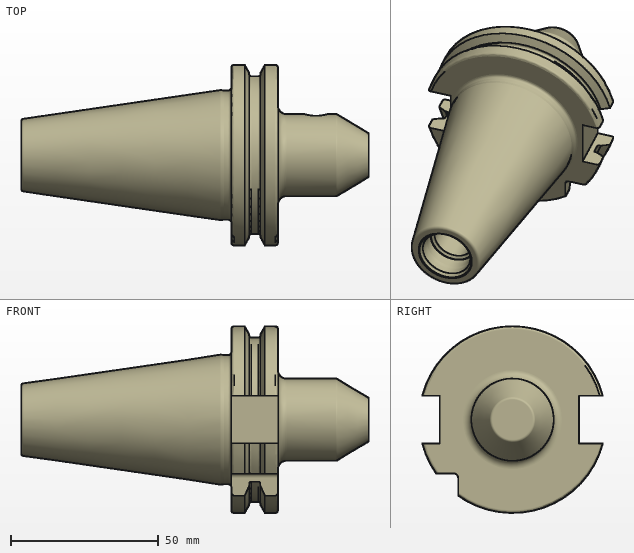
import cadquery as cq
import math


GAUGE_DIAMETER = 44.45
TAPER_RATIO = 7 / 24
SHANK_LENGTH = 68.25
SHANK_END_FILLET = 1.0
GAUGE_LAND_END = -0.4
RELIEF_START = 0.75
RELIEF_RADIUS = 22.0
RELIEF_FILLET = 1.0

FLANGE_DIAMETER = 63.51
FLANGE_START = 3.2
FLANGE_END = 19.1
FLANGE_FILLET = 1.0
GROOVE_CENTRE = 11.2
GROOVE_MOUTH_WIDTH = 6.9
GROOVE_FLOOR_WIDTH = 3.8
GROOVE_FLOOR_RADIUS = 28.0
GROOVE_HALF_ANGLE = 30
GROOVE_FILLET = 0.7

SLOT_WIDTH = 16.15
SLOT_FLOOR_PLUS_Y = 22.6
SLOT_FLOOR_MINUS_Y = 24.8
NOTCH_WALL_Y = -18.5
NOTCH_FLOOR_Z = -18.3
NOTCH_FILLET = 1.5

NOSE_END = 50.0
NOSE_RADIUS = 14.0
NOSE_TIP_RADIUS = 7.4
NOSE_CONE_LENGTH = 11.0
NOSE_BASE_FILLET = 2.8
NOSE_TIP_FILLET = 1.0
NOSE_SHOULDER_FILLET = 1.0

SCREW_DIAMETER = 8.0
SCREW_FROM_TIP = 18.0

MOUTH_RADIUS = 9.6
MOUTH_BEVEL_LENGTH = 0.2
COUNTERSINK_RADIUS = 9.3
COUNTERSINK_DEPTH = 1.3
BORE_RADIUS = 8.5
BORE_DEPTH = 3.9
PILOT_START_DEPTH = 4.9
PILOT_RADIUS = 8.25
PILOT_DEPTH = 6.9
STEP_RADIUS = 8.1
STEP_DEPTH = 8.3
THREAD_MOUTH_RADIUS = 7.9
THREAD_MOUTH_DEPTH = 9.1
THREAD_CORE_RADIUS = 6.9
CORE_DEPTH = 30.0
DRILL_POINT_ANGLE = 118

FLANGE_RADIUS = FLANGE_DIAMETER / 2
SHANK_END = -SHANK_LENGTH


def taper_radius(x):
    """Radius of the steep taper at axial position x."""
    return (GAUGE_DIAMETER + TAPER_RATIO * x) / 2


def revolve_outline(corners):
    """Revolve a closed outline about X. Each corner is (x, radius, corner rounding)."""
    outline = None
    count = len(corners)
    for i in range(count):
        x, r, rounding = corners[i]
        corner = cq.Vector(x, r)
        to_previous = (cq.Vector(*corners[i - 1][:2]) - corner).normalized()
        to_next = (cq.Vector(*corners[(i + 1) % count][:2]) - corner).normalized()
        half_angle = to_previous.getAngle(to_next) / 2
        tangent_length = rounding / math.tan(half_angle)
        arc_start = corner + to_previous * tangent_length
        if outline is None:
            outline = cq.Workplane("XY").moveTo(arc_start.x, arc_start.y)
        else:
            outline = outline.lineTo(arc_start.x, arc_start.y)
        if rounding > 0:
            arc_end = corner + to_next * tangent_length
            bisector = (to_previous + to_next).normalized()
            arc_middle = corner + bisector * (rounding / math.sin(half_angle) - rounding)
            outline = outline.threePointArc((arc_middle.x, arc_middle.y), (arc_end.x, arc_end.y))
    return outline.close().revolve(360, (0, 0, 0), (1, 0, 0))


def make_body():
    """Taper shank, plain flange and nose as one turned body."""
    return revolve_outline([
        (SHANK_END, 0, 0),
        (SHANK_END, taper_radius(SHANK_END), SHANK_END_FILLET),
        (GAUGE_LAND_END, taper_radius(GAUGE_LAND_END), 0),
        (RELIEF_START, RELIEF_RADIUS, 0),
        (FLANGE_START, RELIEF_RADIUS, RELIEF_FILLET),
        (FLANGE_START, FLANGE_RADIUS, FLANGE_FILLET),
        (FLANGE_END, FLANGE_RADIUS, FLANGE_FILLET),
        (FLANGE_END, NOSE_RADIUS, NOSE_BASE_FILLET),
        (NOSE_END - NOSE_CONE_LENGTH, NOSE_RADIUS, NOSE_SHOULDER_FILLET),
        (NOSE_END, NOSE_TIP_RADIUS, NOSE_TIP_FILLET),
        (NOSE_END, 0, 0),
    ])


def make_groove():
    """Ring that cuts the gripper groove: a V mouth above a straight-walled floor."""
    half_floor = GROOVE_FLOOR_WIDTH / 2
    half_mouth = GROOVE_MOUTH_WIDTH / 2
    v_depth = (half_mouth - half_floor) / math.tan(math.radians(GROOVE_HALF_ANGLE))
    wall_top = FLANGE_RADIUS - v_depth
    return revolve_outline([
        (GROOVE_CENTRE - half_mouth, FLANGE_RADIUS, 0),
        (GROOVE_CENTRE - half_floor, wall_top, 0),
        (GROOVE_CENTRE - half_floor, GROOVE_FLOOR_RADIUS, GROOVE_FILLET),
        (GROOVE_CENTRE + half_floor, GROOVE_FLOOR_RADIUS, GROOVE_FILLET),
        (GROOVE_CENTRE + half_floor, wall_top, 0),
        (GROOVE_CENTRE + half_mouth, FLANGE_RADIUS, 0),
    ])


def make_flange_cut(y_range, z_range):
    """Block that cuts the flange and the fillet behind it over the given Y and Z ranges."""
    start = FLANGE_START - RELIEF_FILLET
    length = FLANGE_END - start
    width = y_range[1] - y_range[0]
    height = z_range[1] - z_range[0]
    block = cq.Workplane("XY").box(length, width, height, centered=False)
    return block.translate((start, y_range[0], z_range[0]))


def make_drive_slots():
    """Two opposite slots of equal width and unequal depth."""
    z_range = (-SLOT_WIDTH / 2, SLOT_WIDTH / 2)
    plus_slot = make_flange_cut((SLOT_FLOOR_PLUS_Y, FLANGE_RADIUS), z_range)
    minus_slot = make_flange_cut((-FLANGE_RADIUS, -SLOT_FLOOR_MINUS_Y), z_range)
    return plus_slot.union(minus_slot)


def make_notch():
    """Corner notch on the -Y, -Z side of the flange."""
    notch = make_flange_cut((-FLANGE_RADIUS, NOTCH_WALL_Y), (-FLANGE_RADIUS, NOTCH_FLOOR_Z))
    return notch.edges("|X and >Y and >Z").fillet(NOTCH_FILLET)


def make_screw_hole():
    """Radial hole from the +Y side down to the axis."""
    return (
        cq.Workplane("XZ")
        .center(NOSE_END - SCREW_FROM_TIP, 0)
        .circle(SCREW_DIAMETER / 2)
        .extrude(-NOSE_RADIUS)
    )


def make_drawbar_bore():
    """Blind bore that narrows in steps to the thread core and ends in a drill point."""
    point_length = THREAD_CORE_RADIUS / math.tan(math.radians(DRILL_POINT_ANGLE / 2))
    bevel_end = SHANK_END + MOUTH_BEVEL_LENGTH
    core_end = SHANK_END + CORE_DEPTH
    return revolve_outline([
        (SHANK_END, 0, 0),
        (SHANK_END, MOUTH_RADIUS, 0),
        (bevel_end, COUNTERSINK_RADIUS, 0),
        (SHANK_END + COUNTERSINK_DEPTH, BORE_RADIUS, 0),
        (SHANK_END + BORE_DEPTH, BORE_RADIUS, 0),
        (SHANK_END + PILOT_START_DEPTH, PILOT_RADIUS, 0),
        (SHANK_END + PILOT_DEPTH, PILOT_RADIUS, 0),
        (SHANK_END + STEP_DEPTH, STEP_RADIUS, 0),
        (SHANK_END + STEP_DEPTH, THREAD_MOUTH_RADIUS, 0),
        (SHANK_END + THREAD_MOUTH_DEPTH, THREAD_CORE_RADIUS, 0),
        (core_end, THREAD_CORE_RADIUS, 0),
        (core_end + point_length, 0, 0),
    ])


result = (
    make_body()
    .cut(make_groove())
    .cut(make_drive_slots())
    .cut(make_notch())
    .cut(make_screw_hole())
    .cut(make_drawbar_bore())
)